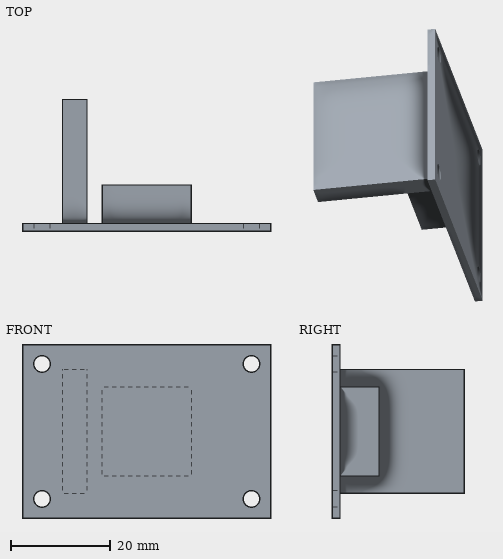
import cadquery as cq

plate_width = 50.0
plate_height = 35.0
plate_thickness = 1.6

hole_diameter = 3.3
hole_inset = 3.9

slab_left = 8.0
slab_width = 5.0
slab_depth = 25.0
slab_height = 25.0

block_width = 18.0
block_depth = 7.8
block_height = block_width


def box_behind_plate(left, width, depth, height):
    """Box rising from the back face, centred on the plate's height."""
    bottom = (plate_height - height) / 2
    return cq.Workplane("XY").box(width, depth, height, centered=False).translate(
        (left, plate_thickness, bottom)
    )


plate = cq.Workplane("XY").box(plate_width, plate_thickness, plate_height, centered=False)

hole_centers = [
    (x, z)
    for x in (hole_inset, plate_width - hole_inset)
    for z in (hole_inset, plate_height - hole_inset)
]
holes = (
    cq.Workplane("XZ")
    .pushPoints(hole_centers)
    .circle(hole_diameter / 2)
    .extrude(-plate_thickness)
)

slab = box_behind_plate(slab_left, slab_width, slab_depth, slab_height)
block_left = (plate_width - block_width) / 2
block = box_behind_plate(block_left, block_width, block_depth, block_height)

result = plate.cut(holes).union(slab).union(block)